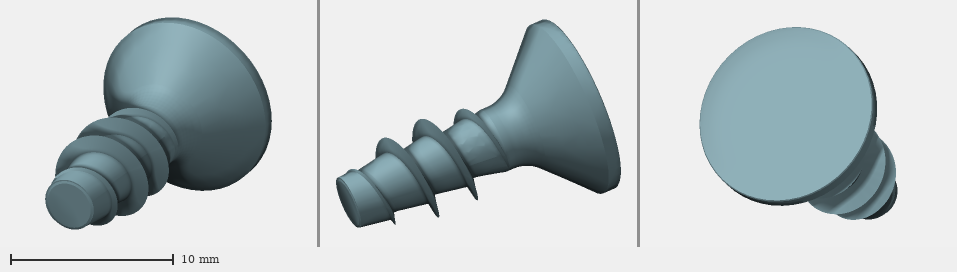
import cadquery as cq
import math

length = 16.0
head_radius = 5.65
rim_depth = 0.88
rim_chamfer = 0.06
shank_radius = 2.06
shank_end_depth = 5.97
neck_radius = 2.4
tip_chamfer_depth = 0.05
tip_chamfer_width = 0.15

half_right_angle = math.radians(45)
neck_top_radius = shank_radius + neck_radius * (1 - math.cos(half_right_angle))
neck_top_depth = rim_depth + head_radius - neck_top_radius
neck_end_depth = neck_top_depth + neck_radius * math.sin(half_right_angle)
neck_mid_radius = shank_radius + neck_radius * (1 - math.cos(half_right_angle / 2))
neck_mid_depth = neck_end_depth - neck_radius * math.sin(half_right_angle / 2)

core_radius = 1.63
start_cone_depth = 7.84
pitch = 2.69
first_crest_depth = 5.25
last_crest_depth = 15.71
start_angle = -90.0
head_flank = 0.35
tip_flank = 0.25
swell_radius = 1.97
crest_radius = 3.0
start_crest_radius = 2.06
full_crest_depth = 8.51
fade_crest_depth = 11.95
end_crest_radius = 1.65
buried_radius = 1.28
root_overlap = 0.02
turn_gap = 0.02
points_per_turn = 24
steps_per_patch = 8

taper_length = pitch - head_flank - tip_flank - turn_gap
taper_slope = (swell_radius - core_radius) / taper_length


def make_body():
    """Revolved head, neck, shank and thread core."""
    return (
        cq.Workplane("XY")
        .lineTo(head_radius - rim_chamfer, 0)
        .lineTo(head_radius, -rim_chamfer)
        .lineTo(head_radius, -rim_depth)
        .lineTo(neck_top_radius, -neck_top_depth)
        .threePointArc((neck_mid_radius, -neck_mid_depth), (shank_radius, -neck_end_depth))
        .lineTo(shank_radius, -shank_end_depth)
        .lineTo(core_radius, -start_cone_depth)
        .lineTo(core_radius, -length + tip_chamfer_depth)
        .lineTo(core_radius - tip_chamfer_width, -length)
        .lineTo(0, -length)
        .close()
        .revolve(360, (0, 0, 0), (0, 1, 0))
    )


def crest_radius_at(depth):
    """Crest radius: rises from the shank, stays full, then fades out to the tip."""
    rise = (depth - first_crest_depth) / (full_crest_depth - first_crest_depth)
    fade = (last_crest_depth - depth) / (last_crest_depth - fade_crest_depth)
    rising = start_crest_radius + (crest_radius - start_crest_radius) * rise
    fading = end_crest_radius + (crest_radius - end_crest_radius) * fade
    return min(crest_radius, rising, fading)


def thread_section(depth):
    """Corners (radius, depth) of the thread section whose crest is at the given depth."""
    crest = crest_radius_at(depth)
    thinning = (crest - buried_radius) / (crest_radius - buried_radius)
    head_root = depth - head_flank * thinning
    tip_root = depth + tip_flank * thinning
    taper_end = depth + tip_flank + taper_length
    tip_cone = core_radius + taper_slope * max(0, length - tip_root)
    return [
        (buried_radius, head_root),
        (core_radius - root_overlap, head_root),
        (crest, depth),
        (min(swell_radius, tip_cone), tip_root),
        (core_radius - root_overlap, taper_end),
        (buried_radius, taper_end),
    ]


def make_thread():
    """Solid swept along the helix, bounded by ruled faces between its corner curves."""
    turns = (last_crest_depth - first_crest_depth) / pitch
    steps = math.ceil(turns * points_per_turn)
    corner_paths = [[] for _ in thread_section(first_crest_depth)]
    for step in range(steps + 1):
        turn = turns * step / steps
        angle = math.radians(start_angle) + 2 * math.pi * turn
        section = thread_section(first_crest_depth + pitch * turn)
        for path, (radius, depth) in zip(corner_paths, section):
            path.append(cq.Vector(radius * math.cos(angle), -depth, radius * math.sin(angle)))
    faces = []
    for first in range(0, steps, steps_per_patch):
        patch = slice(first, first + steps_per_patch + 1)
        edges = [cq.Edge.makeSpline(path[patch]) for path in corner_paths]
        faces += [cq.Face.makeRuledSurface(a, b) for a, b in zip(edges, edges[1:] + edges[:1])]
    for end in (0, -1):
        corners = [path[end] for path in corner_paths]
        faces.append(cq.Face.makeFromWires(cq.Wire.makePolygon(corners, close=True)))
    thread = cq.Workplane(cq.Solid.makeSolid(cq.Shell.makeShell(faces)))
    threaded_length = (
        cq.Workplane("XZ", origin=(0, -shank_end_depth, 0))
        .circle(head_radius)
        .extrude(length - shank_end_depth - tip_chamfer_depth)
    )
    return threaded_length.intersect(thread)


result = make_body().union(make_thread())